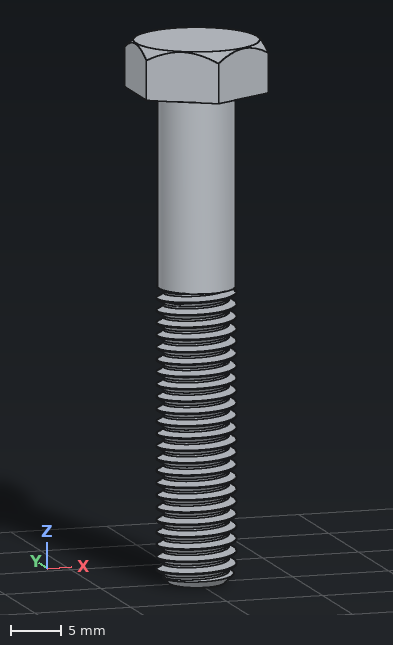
import cadquery as cq
import math

total_length = 55.1
across_flats = 12.75
head_height = 5.1
head_top_diameter = 12.6
head_corner_drop = 1.05
shank_diameter = 7.75
neck_flare_width = 0.3
neck_flare_height = 0.5
thread_length = 30.05
thread_diameter = 8.0
thread_root_diameter = 6.55
thread_turns = 24
crest_width = 0.1
root_width = 0.2
tip_diameter = 5.6
ridge_embedding = 0.05
envelope_margin = 0.55
first_crest_height = 0.75

head_base = total_length - head_height
across_corners = across_flats / math.cos(math.radians(30))
thread_radius = thread_diameter / 2
root_radius = thread_root_diameter / 2
shank_radius = shank_diameter / 2
tip_radius = tip_diameter / 2
thread_pitch = thread_length / thread_turns


def revolve_profile(points):
    """Turn an outline of (radius, height) points about the bolt axis."""
    return cq.Workplane("XZ").polyline(points).close().revolve(360, (0, 0), (0, 1))


def make_head():
    """Hexagonal head, corners on +Y and -Y, with a conical top chamfer."""
    hexagon = (
        cq.Workplane("XY", origin=(0, 0, head_base))
        .polygon(6, across_corners)
        .extrude(head_height)
        .rotate((0, 0, 0), (0, 0, 1), 30)
    )
    top_radius = head_top_diameter / 2
    corner_radius = across_corners / 2
    slope = head_corner_drop / (corner_radius - top_radius)
    cone_radius = top_radius + head_height / slope
    cone = revolve_profile([(0, head_base), (cone_radius, head_base),
                            (top_radius, total_length), (0, total_length)])
    return hexagon.intersect(cone)


def make_shank():
    """Plain shank, flaring slightly where it meets the head."""
    return revolve_profile([
        (0, thread_length),
        (shank_radius, thread_length),
        (shank_radius, head_base - neck_flare_height),
        (shank_radius + neck_flare_width, head_base),
        (0, head_base),
    ])


def make_thread():
    """Right-hand thread ridge on a plain core, trimmed by the chamfered tip."""
    start = first_crest_height - 2 * thread_pitch
    turns = math.ceil((thread_length - start) / thread_pitch) + 1
    flank_slope = (thread_pitch - crest_width - root_width) / 2 / (thread_radius - root_radius)
    inner_radius = root_radius - ridge_embedding
    inner_half_width = crest_width / 2 + flank_slope * (thread_radius - inner_radius)
    helix = cq.Wire.makeHelix(thread_pitch, turns * thread_pitch, inner_radius, cq.Vector(0, 0, start))
    ridge = (
        cq.Workplane("XZ")
        .polyline([
            (inner_radius, start - inner_half_width),
            (thread_radius, start - crest_width / 2),
            (thread_radius, start + crest_width / 2),
            (inner_radius, start + inner_half_width),
        ])
        .close()
        .sweep(cq.Workplane(helix), isFrenet=True)
    )
    envelope_radius = thread_radius + envelope_margin
    envelope = revolve_profile([
        (0, 0),
        (tip_radius, 0),
        (envelope_radius, envelope_radius - tip_radius),
        (envelope_radius, thread_length),
        (0, thread_length),
    ])
    core = revolve_profile([
        (0, 0),
        (tip_radius, 0),
        (root_radius, root_radius - tip_radius),
        (root_radius, thread_length),
        (0, thread_length),
    ])
    return core.union(ridge.intersect(envelope))


result = make_thread().union(make_shank()).union(make_head())